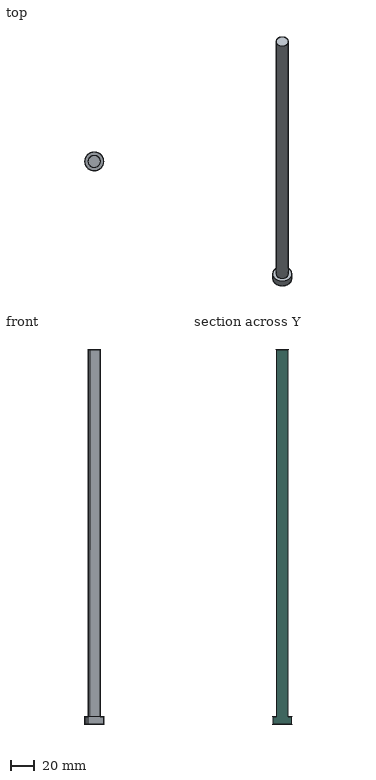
import cadquery as cq

overall_length = 315.0
shank_diameter = 10.2
head_diameter = 16.0
head_height = 6.5


def make_head():
    """Flat cylindrical head with its underside at Z = 0."""
    return cq.Workplane("XY").circle(head_diameter / 2).extrude(head_height)


def make_shank():
    """Plain round shank from the underside of the head to the tip."""
    return cq.Workplane("XY").circle(shank_diameter / 2).extrude(overall_length)


result = make_head().union(make_shank())